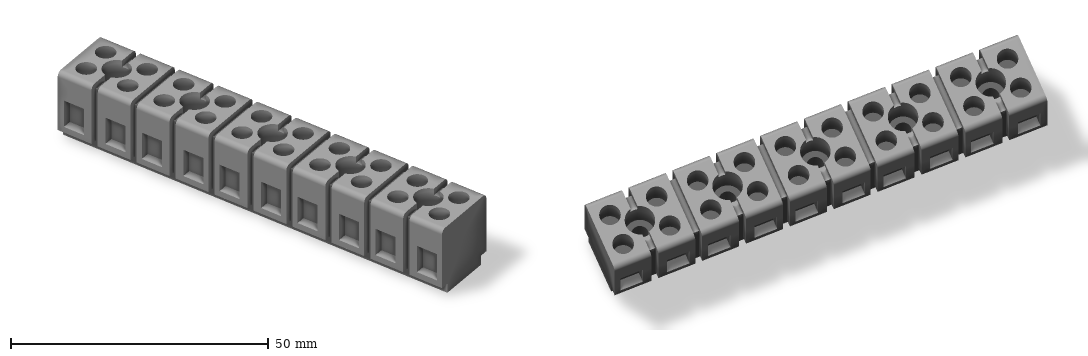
import cadquery as cq

LENGTH = 91.25
WIDTH = 15.0
HEIGHT = 16.1
FOOT_WIDTH = 11.3
FOOT_HEIGHT = 2.2
TOP_RADIUS = 1.1

POLE_COUNT = 10
GROOVE_COUNT = POLE_COUNT - 1
GROOVE_WIDTH = 1.5
GROOVE_DEPTH = 1.55
FIRST_GROOVE_INSET = 8.8
LAST_GROOVE_INSET = 8.5
POLE_PITCH = (LENGTH - FIRST_GROOVE_INSET - LAST_GROOVE_INSET) / (GROOVE_COUNT - 1)

POLES_PER_MOUNT = 2
MOUNT_DIAMETER = 3.4
MOUNT_BORE_DIAMETER = 5.9
MOUNT_BORE_DEPTH = 7.3

TERMINAL_SPACING = 9.9
SCREW_ROW_SPACING = 6.6
SCREW_DIAMETER = 4.2
SCREW_DEPTH = 5.9
WINDOW_WIDTH = 4.7
WINDOW_HEIGHT = 6.3
WINDOW_BOTTOM = 3.6
WINDOW_DEPTH = 2.0


def block(length, width, height, x, bottom):
    """Box centred on Y = 0 at the given X, standing on the given Z."""
    box = cq.Workplane("XY").box(length, width, height, centered=(True, True, False))
    return box.translate((x, 0, bottom))


def well(points, diameter, depth):
    """Round cutters reaching down from the top face."""
    floor = cq.Workplane("XY").workplane(offset=HEIGHT - depth)
    return floor.pushPoints(points).circle(diameter / 2).extrude(depth)


def body():
    upper = block(LENGTH, WIDTH, HEIGHT - FOOT_HEIGHT, 0, FOOT_HEIGHT)
    upper = upper.faces(">Z").edges("|X").fillet(TOP_RADIUS)
    return upper.union(block(LENGTH, FOOT_WIDTH, FOOT_HEIGHT, 0, 0))


def groove(x):
    """Arch-shaped cutter across the top and down both long sides."""
    outer = block(GROOVE_WIDTH, WIDTH, HEIGHT - FOOT_HEIGHT, x, FOOT_HEIGHT)
    core_width = WIDTH - 2 * GROOVE_DEPTH
    core_height = HEIGHT - FOOT_HEIGHT - GROOVE_DEPTH
    return outer.cut(block(GROOVE_WIDTH, core_width, core_height, x, FOOT_HEIGHT))


def windows(x):
    """Matching wire windows in both long sides."""
    outer = block(WINDOW_WIDTH, WIDTH, WINDOW_HEIGHT, x, WINDOW_BOTTOM)
    return outer.cut(block(WINDOW_WIDTH, WIDTH - 2 * WINDOW_DEPTH, WINDOW_HEIGHT, x, WINDOW_BOTTOM))


first_groove_x = FIRST_GROOVE_INSET - LENGTH / 2
groove_xs = [first_groove_x + i * POLE_PITCH for i in range(GROOVE_COUNT)]
mount_xs = groove_xs[::POLES_PER_MOUNT]
mount_points = [(x, 0) for x in mount_xs]
terminal_xs = [x + side * TERMINAL_SPACING / 2 for x in mount_xs for side in (-1, 1)]
screw_points = [(x, side * SCREW_ROW_SPACING / 2) for x in terminal_xs for side in (-1, 1)]

result = body()
for groove_x in groove_xs:
    result = result.cut(groove(groove_x))
for terminal_x in terminal_xs:
    result = result.cut(windows(terminal_x))
result = result.cut(well(screw_points, SCREW_DIAMETER, SCREW_DEPTH))
result = result.cut(well(mount_points, MOUNT_BORE_DIAMETER, MOUNT_BORE_DEPTH))
result = result.cut(well(mount_points, MOUNT_DIAMETER, HEIGHT))